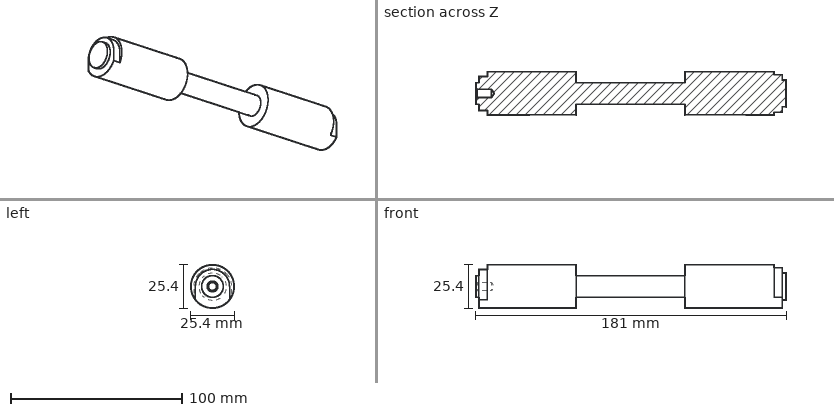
import cadquery as cq

length = 181.0
body_radius = 12.7
rod_radius = 6.3

left_body_end = 58.5
right_body_start = 122.0

left_boss_radius = 6.3
left_boss_length = 1.8
left_tongue_radius = 10.0
right_boss_radius = 8.0
right_boss_length = 2.2
right_tongue_radius = 11.0
tongue_length = 4.9

hole_radius = 2.4
hole_depth = 9.0
hole_chamfer = 0.7
drill_tip_length = 1.6


def cylinder(radius, start, end):
    """Cylinder on the part axis from x = start to x = end."""
    return cq.Workplane("YZ", origin=(start, 0, 0)).circle(radius).extrude(end - start)


def tongue(radius, start, end):
    """Half-round top with straight sides going down to the body's round underside."""
    drop = (
        cq.Workplane("YZ", origin=(start, 0, 0))
        .center(0, -body_radius / 2)
        .rect(2 * radius, body_radius)
        .extrude(end - start)
    )
    lower = drop.intersect(cylinder(body_radius, start, end))
    return cylinder(radius, start, end).union(lower)


def drilled_hole():
    """Hole volume, revolved about the part axis."""
    return (
        cq.Workplane("XY")
        .polyline([
            (0, 0),
            (0, hole_radius + hole_chamfer),
            (hole_chamfer, hole_radius),
            (hole_depth, hole_radius),
            (hole_depth + drill_tip_length, 0),
        ])
        .close()
        .revolve(360, (0, 0, 0), (1, 0, 0))
    )


left_body_start = left_boss_length + tongue_length
right_boss_start = length - right_boss_length
right_body_end = right_boss_start - tongue_length

rod = cylinder(rod_radius, left_body_end, right_body_start)
left_body = cylinder(body_radius, left_body_start, left_body_end)
right_body = cylinder(body_radius, right_body_start, right_body_end)
left_tongue = tongue(left_tongue_radius, left_boss_length, left_body_start)
right_tongue = tongue(right_tongue_radius, right_body_end, right_boss_start)
left_boss = cylinder(left_boss_radius, 0, left_boss_length)
right_boss = cylinder(right_boss_radius, right_boss_start, length)

result = rod
for piece in (left_body, right_body, left_tongue, right_tongue, left_boss, right_boss):
    result = result.union(piece)
result = result.cut(drilled_hole())